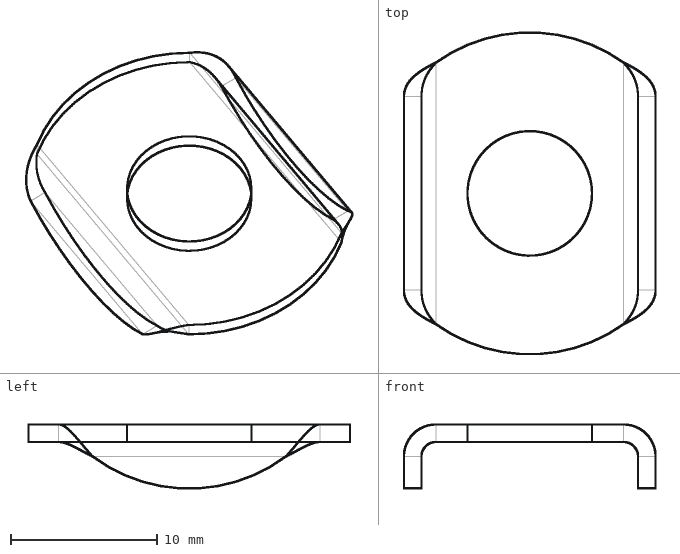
import cadquery as cq
import math

blank_radius = 11.0
hole_diameter = 8.5
width = 17.2
height = 4.4
thickness = 1.2
outer_bend_radius = 2.2

inner_bend_radius = outer_bend_radius - thickness
flat_half_width = width / 2 - outer_bend_radius
flap_depth = height - outer_bend_radius
bend_allowance = blank_radius - flap_depth - flat_half_width
spline_steps = 12


def blank_half_length(distance):
    """Half length of the round blank at a distance from its centre line."""
    return math.sqrt(blank_radius**2 - distance**2)


def bend_edge(radius, side):
    """Edge of the blank wrapped around the bend; side is +1 or -1 along Y."""
    points = []
    for step in range(spline_steps + 1):
        fraction = step / spline_steps
        angle = fraction * math.pi / 2
        y = side * blank_half_length(flat_half_width + fraction * bend_allowance)
        x = flat_half_width + radius * math.sin(angle)
        z = radius * math.cos(angle) - outer_bend_radius
        points.append(cq.Vector(x, y, z))
    return cq.Edge.makeSpline(points)


def make_flat():
    """Top plate: the round blank trimmed at both bend lines, with its hole."""
    disc = cq.Workplane("XY").circle(blank_radius).circle(hole_diameter / 2).extrude(-thickness)
    strip = cq.Workplane("XY").box(2 * flat_half_width, 2 * blank_radius, 2 * thickness)
    return disc.intersect(strip)


def make_bend():
    """Bend on the +X side, closed by ruled faces between its four curved edges."""
    edges = [
        bend_edge(outer_bend_radius, 1),
        bend_edge(outer_bend_radius, -1),
        bend_edge(inner_bend_radius, -1),
        bend_edge(inner_bend_radius, 1),
    ]
    faces = []
    for index, edge in enumerate(edges):
        faces.append(cq.Face.makeRuledSurface(edge, edges[index - 1]))
    for end in (0, 1):
        corners = [edge.positionAt(end) for edge in edges]
        faces.append(cq.Face.makeFromWires(cq.Wire.makePolygon(corners, close=True)))
    shell = cq.Shell.makeShell(faces)
    return cq.Workplane(obj=cq.Solid.makeSolid(shell).fix())


def make_flap():
    """Vertical flap on the +X side: the remaining circular segment of the blank."""
    half_chord = blank_half_length(blank_radius - flap_depth)
    return (
        cq.Workplane("YZ", origin=(width / 2 - thickness, 0, 0))
        .moveTo(-half_chord, -outer_bend_radius)
        .threePointArc((0, -height), (half_chord, -outer_bend_radius))
        .close()
        .extrude(thickness)
    )


folded_side = make_bend().union(make_flap())
result = make_flat().union(folded_side).union(folded_side.mirror("YZ"))